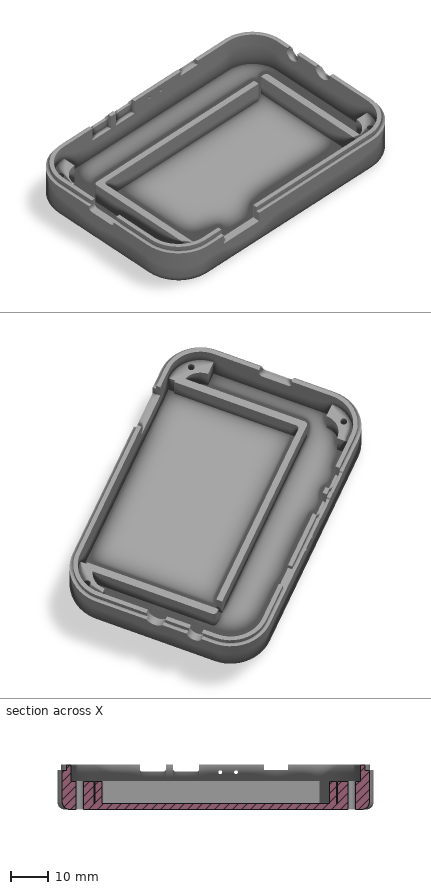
import cadquery as cq

LENGTH_X = 57.2
LENGTH_Y = 84.7
HEIGHT = 12.0
CORNER_RADIUS = 11.4
BOTTOM_FILLET = 2.0
FLOOR = 1.7
WALL = 2.2
LIP_INSET = 1.0
LIP_HEIGHT = 1.4
LEDGE_Z = HEIGHT - LIP_HEIGHT

INNER_TOP_Z = 7.7
PAD_CORNERS = [(-1, -1), (1, -1), (1, 1)]
PAD_INNER_RADIUS = 5.25
PAD_HOLE_DIAMETER = 1.9
PAD_HOLE_X = 22.1
PAD_HOLE_Y = 36.4
FRAME_LEFT = -13.5
FRAME_RIGHT = 24.6
FRAME_HALF_Y = 32.4
FRAME_SIDE_WIDTH = 1.7
FRAME_END_WIDTH = 2.0
FRAME_FILLET = 1.0
FRAME_GAP = 2.5

FRONT_SLOT_X = -0.7
FRONT_SLOT_WIDTH = 9.3
FRONT_SLOT_DEPTH = 2.8
FRONT_SLOT_FILLET = 1.0

BACK_NOTCHES = [(-11.35, 10.8, 4.3), (0.2, HEIGHT, 5.5)]

LIP_GAP_Y = 16.2
LIP_GAP_WIDTH = 6.35
SWITCH_YS = (-7.9, -16.8)
SWITCH_WIDTH = 6.95
SWITCH_SLOT_DEPTH = 0.3
SWITCH_CHAMFER = 0.3
SWITCH_SKIN = 0.85
SWITCH_POCKET_Z = INNER_TOP_Z
LED_YS = (1.3, 5.5)
LED_DIAMETER = 1.0
LED_Z = 10.0

RIGHT_NOTCH_Y = -18.5
RIGHT_NOTCH_WIDTH = 13.2
RIGHT_NOTCH_Z = INNER_TOP_Z

CUT_MARGIN = 0.85
CUT_TOP = HEIGHT + CUT_MARGIN
CORNER_X = LENGTH_X / 2 - CORNER_RADIUS
CORNER_Y = LENGTH_Y / 2 - CORNER_RADIUS


def box(x0, x1, y0, y1, z0, z1):
    """Box between two opposite corners."""
    return cq.Workplane("XY").box(x1 - x0, y1 - y0, z1 - z0, centered=False).translate((x0, y0, z0))


def rounded_block(inset, z0, z1):
    """Upright block whose outline lies a fixed distance inside the outer wall."""
    return (
        cq.Workplane("XY", origin=(0, 0, z0))
        .rect(LENGTH_X - 2 * inset, LENGTH_Y - 2 * inset)
        .extrude(z1 - z0)
        .edges("|Z")
        .fillet(CORNER_RADIUS - inset)
    )


def make_shell():
    """Open tray with a rounded bottom edge and a narrower lip on its wall."""
    body = rounded_block(0, 0, LEDGE_Z).faces("<Z").edges().fillet(BOTTOM_FILLET)
    lip = rounded_block(LIP_INSET, FLOOR, HEIGHT)
    return body.union(lip).cut(rounded_block(WALL, FLOOR, CUT_TOP))


def make_pad(side_x, side_y):
    """Corner pad: quarter ring around the centre of the corner arc."""
    x = sorted((side_x * CORNER_X, side_x * LENGTH_X / 2))
    y = sorted((side_y * CORNER_Y, side_y * LENGTH_Y / 2))
    quarter = box(*x, *y, 0, INNER_TOP_Z)
    hollow = (
        cq.Workplane("XY")
        .center(side_x * CORNER_X, side_y * CORNER_Y)
        .circle(PAD_INNER_RADIUS)
        .extrude(INNER_TOP_Z)
    )
    return quarter.cut(hollow).intersect(rounded_block(WALL / 2, FLOOR / 2, INNER_TOP_Z))


def make_frame():
    """Three-sided frame, open to the right, with a gap in its left side."""
    inner_half_y = FRAME_HALF_Y - FRAME_END_WIDTH
    inner_left = FRAME_LEFT + FRAME_SIDE_WIDTH
    z = (FLOOR / 2, INNER_TOP_Z)
    outer = box(FRAME_LEFT, FRAME_RIGHT, -FRAME_HALF_Y, FRAME_HALF_Y, *z)
    outer = outer.edges("|Z and <X").fillet(FRAME_FILLET)
    inner = box(inner_left, FRAME_RIGHT + CUT_MARGIN, -inner_half_y, inner_half_y, *z)
    inner = inner.edges("|Z and <X").fillet(FRAME_FILLET)
    gap = box(FRAME_LEFT, inner_left + FRAME_FILLET, inner_half_y - FRAME_GAP, inner_half_y, *z)
    return outer.cut(inner).cut(gap)


def make_front_slot():
    """Slot through the -Y wall with rounded bottom corners."""
    x0 = FRONT_SLOT_X - FRONT_SLOT_WIDTH / 2
    y0 = -LENGTH_Y / 2
    slot = box(x0, x0 + FRONT_SLOT_WIDTH, y0, y0 + WALL, HEIGHT - FRONT_SLOT_DEPTH, CUT_TOP)
    return slot.edges("|Y and <Z").fillet(FRONT_SLOT_FILLET)


def make_back_notch(x, z, diameter):
    """Cylinder across the +Y wall."""
    return (
        cq.Workplane("XZ", origin=(x, LENGTH_Y / 2, z))
        .circle(diameter / 2)
        .extrude(WALL)
    )


def make_switch_cut(y):
    """Shallow slot through the -X wall, with a deeper pocket on its inner side."""
    y0 = y - SWITCH_WIDTH / 2
    y1 = y + SWITCH_WIDTH / 2
    x0 = -LENGTH_X / 2
    slot = box(x0, x0 + WALL, y0, y1, LEDGE_Z - SWITCH_SLOT_DEPTH, CUT_TOP)
    slot = slot.edges("|X and <Z").chamfer(SWITCH_CHAMFER)
    pocket = box(x0 + SWITCH_SKIN, x0 + WALL, y0, y1, SWITCH_POCKET_Z, CUT_TOP)
    return slot.union(pocket)


def make_led_hole(y):
    """Small hole through the -X wall."""
    return (
        cq.Workplane("YZ", origin=(-LENGTH_X / 2, y, LED_Z))
        .circle(LED_DIAMETER / 2)
        .extrude(WALL)
    )


def make_pad_hole(side_x, side_y):
    """Vertical hole through a corner pad and the floor."""
    return (
        cq.Workplane("XY")
        .center(side_x * PAD_HOLE_X, side_y * PAD_HOLE_Y)
        .circle(PAD_HOLE_DIAMETER / 2)
        .extrude(INNER_TOP_Z)
    )


def make_side_gap(side_x, y, width, bottom_z):
    """Rectangular gap through the -X or +X wall, open at the top."""
    x = sorted((side_x * LENGTH_X / 2, side_x * (LENGTH_X / 2 - WALL)))
    return box(*x, y - width / 2, y + width / 2, bottom_z, CUT_TOP)


result = make_shell().union(make_frame())

for corner in PAD_CORNERS:
    result = result.union(make_pad(*corner)).cut(make_pad_hole(*corner))

result = result.cut(make_front_slot())
for notch in BACK_NOTCHES:
    result = result.cut(make_back_notch(*notch))

result = result.cut(make_side_gap(-1, LIP_GAP_Y, LIP_GAP_WIDTH, LEDGE_Z))
for switch_y in SWITCH_YS:
    result = result.cut(make_switch_cut(switch_y))
for led_y in LED_YS:
    result = result.cut(make_led_hole(led_y))

result = result.cut(make_side_gap(1, RIGHT_NOTCH_Y, RIGHT_NOTCH_WIDTH, RIGHT_NOTCH_Z))